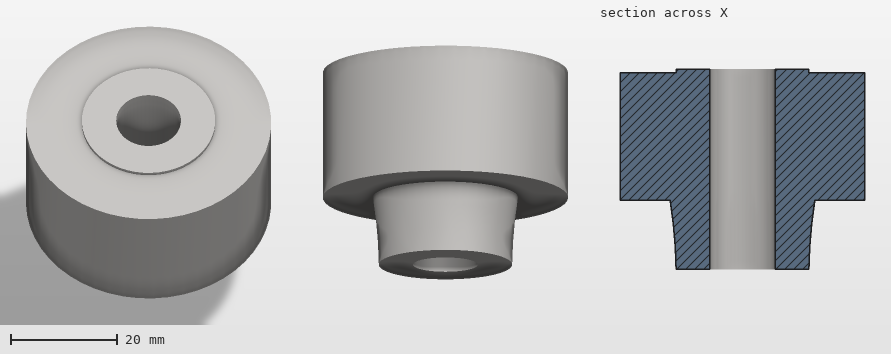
import cadquery as cq

body_diameter = 46.0
total_height = 37.6

face_diameter = 25.02
face_height = 0.7
body_height = 24.0
spigot_root_diameter = 27.25
spigot_tip_diameter = face_diameter
bore_diameter = 12.15

spigot_height = total_height - body_height - face_height
body_top = spigot_height + body_height

flank_sag = 0.25
flank_mid_radius = (spigot_root_diameter + spigot_tip_diameter) / 4 - flank_sag

half_section = (
    cq.Workplane("XZ")
    .moveTo(bore_diameter / 2, 0)
    .lineTo(spigot_tip_diameter / 2, 0)
    .threePointArc(
        (flank_mid_radius, spigot_height / 2),
        (spigot_root_diameter / 2, spigot_height),
    )
    .lineTo(body_diameter / 2, spigot_height)
    .lineTo(body_diameter / 2, body_top)
    .lineTo(face_diameter / 2, body_top)
    .lineTo(face_diameter / 2, total_height)
    .lineTo(bore_diameter / 2, total_height)
    .close()
)

result = half_section.revolve(360, (0, 0, 0), (0, 1, 0))